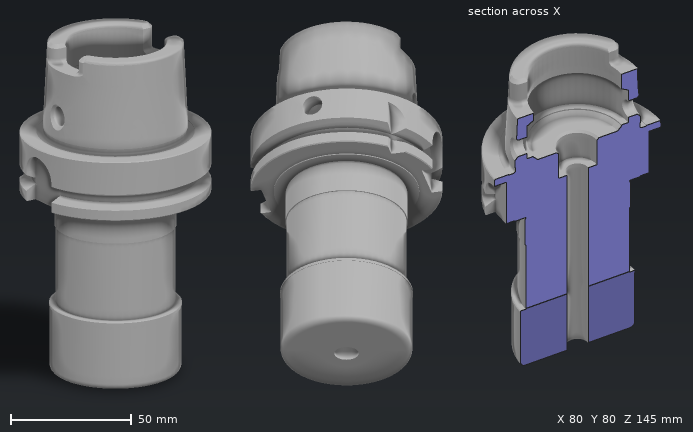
import cadquery as cq
import math


taper_top_z = 40.0
taper_bottom_z = 2.3
taper_ratio = 1 / 10
gauge_diameter = 60.06
gauge_z = 8.0
taper_rim_round = 1.5
neck_diameter = 59.98
neck_round = 1.0
face_relief_diameter = 66.0
face_relief_depth = 0.3

flange_diameter = 80.0
flange_bottom_z = -26.0
flange_edge_chamfer = 0.4
groove_diameter = 70.6
groove_top_z = -16.1
groove_bottom_z = -19.7
groove_root_slope = 0.4
groove_mouth_height = 1.7
groove_mouth_depth = 3.4
pilot_step_diameter = 60.6
pilot_step_height = 0.4

collar_diameter = 51.0
collar_top_z = -27.6
collar_bottom_z = -41.0
collar_chamfer = 0.5
shank_diameter = 50.0
nut_top_z = -75.0
nut_bottom_z = -105.0
nut_diameter = 55.0
nut_rim_diameter = 55.4
nut_rim_height = 1.5
nut_rim_chamfer = 0.4
nut_edge_round = 2.5

bore_diameter = 42.0
bore_rim_round = 1.8
clamp_shoulder_z = 24.0
clamp_shoulder_slope = 30.0
clamp_groove_diameter = 48.38
clamp_groove_bottom_z = 5.0
bore_floor_z = 2.5
bore_floor_diameter = 38.25
tube_hole_diameter = 18.38
tube_hole_mouth_diameter = 20.3
tube_hole_depth = 14.0
coolant_hole_diameter = 10.2

wrench_hole_diameter = 8.5
wrench_hole_mouth_diameter = 11.0
wrench_hole_z = 12.0
chip_hole_diameter = 8.8
chip_hole_depth = 7.0
chip_hole_z = -6.9
chip_hole_offset_y = 5.4

drive_slot_width = 15.6
front_drive_slot_floor_z = 32.0
back_drive_slot_floor_z = 28.0
drive_slot_flare_radius = 3.5
drive_slot_floor_round = 2.0
drive_slot_top_chamfer = 1.5

keyway_width = 18.2
keyway_top_z = -3.9
keyway_floor_offset = 34.3
notch_wall_offset = 25.0
notch_arch_radius = 8.3
notch_arch_center_z = -12.4

overrun = 10.0


def taper_radius(z):
    return (gauge_diameter - (z - gauge_z) * taper_ratio) / 2


def revolve_profile(profile):
    return profile.close().revolve(360, (0, 0, 0), (0, 1, 0))


def cylinder(diameter, bottom_z, top_z):
    return cq.Workplane("XY", origin=(0, 0, bottom_z)).circle(diameter / 2).extrude(top_z - bottom_z)


def holder_blank():
    """Solid of revolution for the outside of the holder."""
    rim_z = taper_top_z - taper_rim_round
    rim_radius = taper_radius(rim_z)
    rim_mid = taper_rim_round * (1 - math.sqrt(0.5))
    neck_mid = neck_round * (1 - math.sqrt(0.5))
    flange_radius = flange_diameter / 2
    mouth_radius = flange_radius - groove_mouth_depth
    collar_radius = collar_diameter / 2
    profile = (
        cq.Workplane("XZ")
        .moveTo(0, taper_top_z)
        .lineTo(rim_radius - taper_rim_round, taper_top_z)
        .threePointArc((rim_radius - rim_mid, taper_top_z - rim_mid), (rim_radius, rim_z))
        .lineTo(taper_radius(taper_bottom_z), taper_bottom_z)
        .lineTo(neck_diameter / 2, taper_bottom_z)
        .lineTo(neck_diameter / 2, neck_round - face_relief_depth)
        .threePointArc(
            (neck_diameter / 2 + neck_mid, neck_mid - face_relief_depth),
            (neck_diameter / 2 + neck_round, -face_relief_depth),
        )
        .lineTo(face_relief_diameter / 2, -face_relief_depth)
        .lineTo(face_relief_diameter / 2, 0)
        .lineTo(flange_radius - flange_edge_chamfer, 0)
        .lineTo(flange_radius, -flange_edge_chamfer)
        .lineTo(flange_radius, groove_top_z + groove_mouth_height)
        .lineTo(mouth_radius, groove_top_z)
        .lineTo(groove_diameter / 2, groove_top_z - groove_root_slope)
        .lineTo(groove_diameter / 2, groove_bottom_z + groove_root_slope)
        .lineTo(mouth_radius, groove_bottom_z)
        .lineTo(flange_radius, groove_bottom_z - groove_mouth_height)
        .lineTo(flange_radius, flange_bottom_z + flange_edge_chamfer)
        .lineTo(flange_radius - flange_edge_chamfer, flange_bottom_z)
        .lineTo(pilot_step_diameter / 2, flange_bottom_z)
        .lineTo(pilot_step_diameter / 2, flange_bottom_z - pilot_step_height)
        .lineTo(collar_radius - collar_chamfer, flange_bottom_z - pilot_step_height)
        .lineTo(collar_radius, collar_top_z)
        .lineTo(collar_radius, collar_bottom_z)
        .lineTo(shank_diameter / 2, collar_bottom_z)
        .lineTo(shank_diameter / 2, nut_top_z)
        .lineTo(0, nut_top_z)
    )
    return revolve_profile(profile)


def bore_cutter():
    """Clamping bore, its undercut groove and the coolant tube hole."""
    bore_radius = bore_diameter / 2
    groove_radius = clamp_groove_diameter / 2
    shoulder_drop = (groove_radius - bore_radius) * math.tan(math.radians(clamp_shoulder_slope))
    floor_radius = bore_floor_diameter / 2
    floor_chamfer = bore_radius - floor_radius
    rim_mid = bore_rim_round * (1 - math.sqrt(0.5))
    mouth_chamfer = (tube_hole_mouth_diameter - tube_hole_diameter) / 2
    profile = (
        cq.Workplane("XZ")
        .moveTo(0, taper_top_z)
        .lineTo(bore_radius + bore_rim_round, taper_top_z)
        .threePointArc(
            (bore_radius + rim_mid, taper_top_z - rim_mid), (bore_radius, taper_top_z - bore_rim_round)
        )
        .lineTo(bore_radius, clamp_shoulder_z)
        .lineTo(groove_radius, clamp_shoulder_z - shoulder_drop)
        .lineTo(groove_radius, clamp_groove_bottom_z)
        .lineTo(bore_radius, clamp_groove_bottom_z)
        .lineTo(bore_radius, bore_floor_z + floor_chamfer)
        .lineTo(floor_radius, bore_floor_z)
        .lineTo(tube_hole_mouth_diameter / 2, bore_floor_z)
        .lineTo(tube_hole_diameter / 2, bore_floor_z - mouth_chamfer)
        .lineTo(tube_hole_diameter / 2, bore_floor_z - tube_hole_depth)
        .lineTo(0, bore_floor_z - tube_hole_depth)
    )
    coolant_hole = cylinder(coolant_hole_diameter, nut_top_z, bore_floor_z)
    return revolve_profile(profile).union(coolant_hole)


def drive_slot_cutter(floor_z):
    """Slot on the -Y side whose walls flare out in arcs tangent to the taper end."""
    half_width = drive_slot_width / 2
    flare = drive_slot_flare_radius
    end_radius = taper_radius(taper_top_z)
    flare_x = half_width + flare
    flare_y = -math.sqrt((end_radius - flare) ** 2 - flare_x**2)
    outward = math.atan2(flare_y, flare_x)
    mid_angle = (outward - math.pi) / 2
    tangent = (flare_x + flare * math.cos(outward), flare_y + flare * math.sin(outward))
    mid = (flare_x + flare * math.cos(mid_angle), flare_y + flare * math.sin(mid_angle))
    run = (overrun * math.cos(outward), overrun * math.sin(outward))
    exit_point = (tangent[0] + run[0], tangent[1] + run[1])

    def outline(z):
        return (
            cq.Workplane("XY", origin=(0, 0, z))
            .moveTo(-half_width, 0)
            .lineTo(half_width, 0)
            .lineTo(half_width, flare_y)
            .threePointArc(mid, tangent)
            .lineTo(*exit_point)
            .lineTo(-exit_point[0], exit_point[1])
            .lineTo(-tangent[0], tangent[1])
            .threePointArc((-mid[0], mid[1]), (-half_width, flare_y))
            .close()
        )

    slot = outline(floor_z).extrude(taper_top_z - floor_z)
    slot = slot.faces("<Z").edges().fillet(drive_slot_floor_round)
    chamfer = outline(taper_top_z - drive_slot_top_chamfer).extrude(drive_slot_top_chamfer, taper=-45)
    return slot.union(chamfer)


def arch_slot_cutter(center_x, center_z, radius, floor_y):
    """Round-topped slot on the -Y side, open downwards, with a flat floor at floor_y."""
    bottom_z = flange_bottom_z - pilot_step_height
    return (
        cq.Workplane("XZ", origin=(0, floor_y, 0))
        .moveTo(center_x - radius, bottom_z)
        .lineTo(center_x - radius, center_z)
        .threePointArc((center_x, center_z + radius), (center_x + radius, center_z))
        .lineTo(center_x + radius, bottom_z)
        .close()
        .extrude(flange_diameter / 2)
    )


def keyway_cutter():
    radius = keyway_width / 2
    return arch_slot_cutter(0, keyway_top_z - radius, radius, -keyway_floor_offset)


def notch_cutter():
    """Orientation notch with two square walls, at the -X -Y side of the flange."""
    center_x = -notch_wall_offset - notch_arch_radius
    return arch_slot_cutter(center_x, notch_arch_center_z, notch_arch_radius, -notch_wall_offset)


def wrench_hole_cutter():
    """Hole along Y through both taper walls, with a 45 degree countersink at each end."""
    outer_y = taper_radius(wrench_hole_z)
    hole_radius = wrench_hole_diameter / 2
    sink_end_y = outer_y - (wrench_hole_mouth_diameter - wrench_hole_diameter) / 2
    tool_end_y = taper_radius(taper_bottom_z)
    tool_end_radius = hole_radius + tool_end_y - sink_end_y
    half_section = (
        cq.Workplane("XY", origin=(0, 0, wrench_hole_z))
        .moveTo(0, -tool_end_y)
        .lineTo(tool_end_radius, -tool_end_y)
        .lineTo(hole_radius, -sink_end_y)
        .lineTo(hole_radius, sink_end_y)
        .lineTo(tool_end_radius, tool_end_y)
        .lineTo(0, tool_end_y)
    )
    return revolve_profile(half_section)


def chip_hole_cutter():
    """Blind radial hole in the flange rim, on the -X side."""
    flange_radius = flange_diameter / 2
    tilt = math.degrees(math.asin(chip_hole_offset_y / flange_radius))
    hole = (
        cq.Workplane("YZ", origin=(-flange_radius - overrun, 0, chip_hole_z))
        .circle(chip_hole_diameter / 2)
        .extrude(overrun + chip_hole_depth)
    )
    return hole.rotate((0, 0, 0), (0, 0, 1), -tilt)


def mirrored(cutter):
    """The same cutter on the opposite, +Y side."""
    return cutter.rotate((0, 0, 0), (0, 0, 1), 180)


def make_holder():
    holder = holder_blank().cut(bore_cutter())
    holder = holder.cut(drive_slot_cutter(front_drive_slot_floor_z))
    holder = holder.cut(mirrored(drive_slot_cutter(back_drive_slot_floor_z)))
    holder = holder.cut(keyway_cutter()).cut(mirrored(keyway_cutter()))
    holder = holder.cut(notch_cutter())
    return holder.cut(wrench_hole_cutter()).cut(chip_hole_cutter())


def make_nut():
    """Clamping nut closing the lower end of the shank."""
    rim = cylinder(nut_rim_diameter, nut_top_z - nut_rim_height, nut_top_z)
    rim = rim.faces(">Z").edges().chamfer(nut_rim_chamfer)
    nut = cylinder(nut_diameter, nut_bottom_z, nut_top_z - nut_rim_height)
    nut = nut.faces("<Z").edges().fillet(nut_edge_round)
    return nut.union(rim).cut(cylinder(coolant_hole_diameter, nut_bottom_z, nut_top_z))


holder = make_holder()
nut = make_nut()
result = cq.Compound.makeCompound([holder.val(), nut.val()])